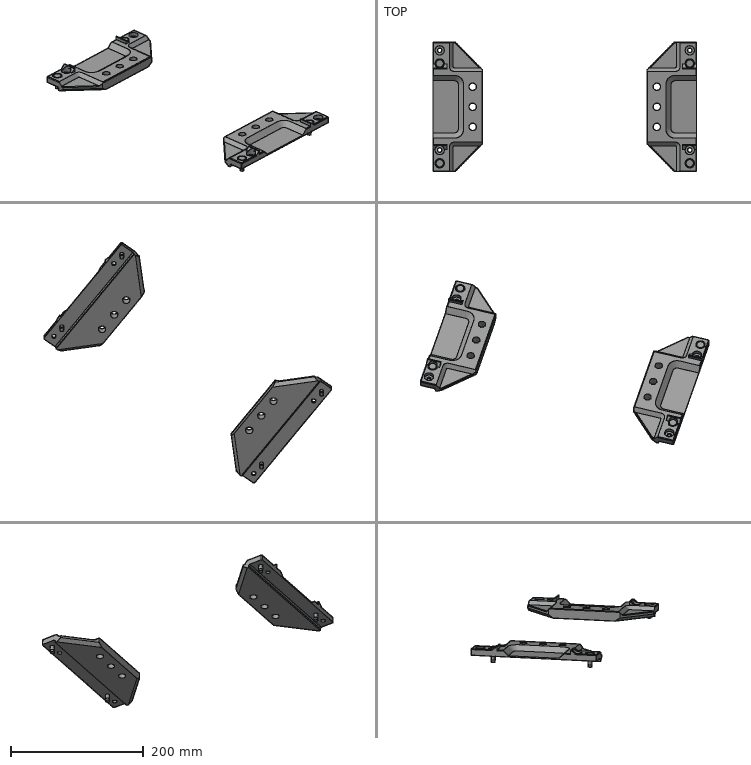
import cadquery as cq

overall_length = 397.3
outer_face_x = -overall_length / 2

plate_width = 75.0
plate_length = 195.0
end_half_length = plate_length / 2
end_width = 33.8
inner_half_length = 55.2
plate_top = 15.0
shelf_level = 9.5
pad_underside = 5.0
rim_chamfer = 1.0
diagonal_chamfer = 5.0

relief_width = 24
relief_chamfer = 2.0

wall_angle = 45
shelf_wall_x = 30.5
shelf_wall_y = 58.8
shelf_corner_radius = 1.5

pocket_floor = 7.0
pocket_floor_width = 38.5
pocket_floor_length = 78.5
pocket_corner_radius = 6.5

row_hole_diameter = 10.7
row_hole_x = 60.0
row_hole_pitch = 30.0
row_hole_count = 3

bore_x = 10.5
inner_bore_y = 65.0
outer_bore_y = 85.0
shank_diameter = 6.5
counterbore_diameter = 14.0
counterbore_depth = 6.0
head_diameter = 11.0
tip_diameter = 6.0
tip_start = -2.5
screw_bottom = -6.0

ridge_top = 20.0
ridge_length = 21.0
ridge_inner_y = 57.0
ridge_crest_y = 58.5
ridge_foot_y = 64.5

counterbore_floor = plate_top - counterbore_depth
bore_ys = (-outer_bore_y, -inner_bore_y, inner_bore_y, outer_bore_y)
screw_ys = (-outer_bore_y, inner_bore_y)


def level(z):
    """Horizontal workplane at height z, with its origin on the left plate's outer face."""
    return cq.Workplane("XY", origin=(outer_face_x, 0, z))


def slab(height):
    """Plate outline raised to a height, with a chamfered upper rim and outer corners."""
    corners = [
        (0, -end_half_length),
        (end_width, -end_half_length),
        (plate_width, -inner_half_length),
        (plate_width, inner_half_length),
        (end_width, end_half_length),
        (0, end_half_length),
    ]
    block = level(0).polyline(corners).close().extrude(height)
    block = block.edges("|Z and <X").chamfer(rim_chamfer)
    return block.faces(">Z").edges().chamfer(rim_chamfer)


def plate_blank():
    """Full-height middle and pads, with the lower triangular shelves beside them."""
    blank = slab(plate_top)
    for side in (-1, 1):
        blank = blank.cut(shelf_cut(side))
    blank = blank.union(slab(shelf_level))
    diagonal_edges = blank.faces("<Z").edges("not(|X or |Y)").edges(">X")
    return diagonal_edges.chamfer(diagonal_chamfer)


def outer_relief():
    """Step along the underside, with its inner top corner cut off at 45 degrees."""
    profile = [
        (0, 0),
        (relief_width, 0),
        (relief_width, pad_underside - relief_chamfer),
        (relief_width - relief_chamfer, pad_underside),
        (0, pad_underside),
    ]
    plane = cq.Workplane("XZ", origin=(outer_face_x, 0, 0))
    return plane.polyline(profile).close().extrude(end_half_length, both=True)


def shelf_cut(side):
    """Space beside a pad: sloped walls above the shelf, straight walls down to its rim."""
    size = plate_width
    footprint = (
        level(shelf_level)
        .center(shelf_wall_x + size / 2, side * (shelf_wall_y + size / 2))
        .sketch()
        .rect(size, size)
        .vertices()
        .fillet(shelf_corner_radius)
        .finalize()
    )
    above_shelf = footprint.extrude(plate_top - shelf_level, taper=-wall_angle)
    return footprint.extrude(-rim_chamfer).union(above_shelf)


def pocket():
    """Recess with walls sloping outward from a rounded floor."""
    floor = (
        level(pocket_floor)
        .sketch()
        .rect(2 * pocket_floor_width, pocket_floor_length)
        .vertices()
        .fillet(pocket_corner_radius)
        .finalize()
    )
    return floor.extrude(plate_top - pocket_floor, taper=-wall_angle)


def ridge(side):
    """Wedge that starts below the pad's chamfered rim so that it closes the rim's corner."""
    base = plate_top - rim_chamfer
    profile = [
        (side * ridge_inner_y, base),
        (side * ridge_inner_y, ridge_top),
        (side * ridge_crest_y, ridge_top),
        (side * ridge_foot_y, plate_top),
        (side * ridge_foot_y, base),
    ]
    plane = cq.Workplane("YZ", origin=(outer_face_x, 0, 0))
    return plane.polyline(profile).close().extrude(ridge_length)


def screw_bores():
    """Counterbored holes; the counterbores also cut back the ridges above them."""
    centers = [(bore_x, y) for y in bore_ys]
    shanks = level(0).pushPoints(centers).circle(shank_diameter / 2).extrude(plate_top)
    heads = level(counterbore_floor).pushPoints(centers).circle(counterbore_diameter / 2)
    return shanks.union(heads.extrude(ridge_top - counterbore_floor))


def row_holes():
    centers = level(0).center(row_hole_x, 0).rarray(4, row_hole_pitch, 1, row_hole_count)
    return centers.circle(row_hole_diameter / 2).extrude(plate_top)


def make_plate():
    plate = plate_blank().cut(outer_relief()).cut(pocket())
    for side in (-1, 1):
        plate = plate.union(ridge(side))
    return plate.cut(screw_bores()).cut(row_holes())


def make_screw(y):
    """Screw with its head flush in a counterbore and a slimmer tip below the plate."""
    tip = level(screw_bottom).center(bore_x, y).circle(tip_diameter / 2)
    shank = level(tip_start).center(bore_x, y).circle(shank_diameter / 2)
    head = level(counterbore_floor).center(bore_x, y).circle(head_diameter / 2)
    screw = tip.extrude(tip_start - screw_bottom)
    screw = screw.union(shank.extrude(counterbore_floor - tip_start))
    return screw.union(head.extrude(counterbore_depth))


left_plate = make_plate()
left_screws = [make_screw(y) for y in screw_ys]
left_bodies = [left_plate] + left_screws
right_bodies = [body.mirror("YZ") for body in left_bodies]

result = cq.Compound.makeCompound([body.val() for body in left_bodies + right_bodies])